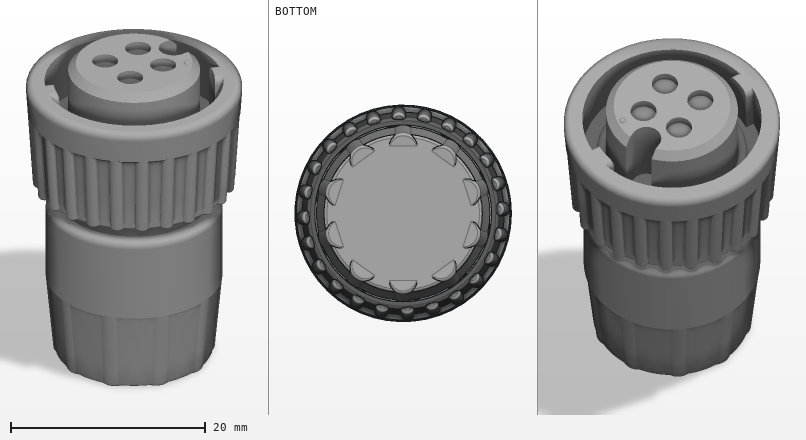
import cadquery as cq
import math

grip_bottom_z = 0.1
body_bottom_z = 8.75
body_top_z = 17.73
ring_bottom_z = 19.68
recess_floor_z = 26.3
collar_bottom_z = 28.4
ring_top_z = 31.72
plug_top_z = 33.82
total_height = 34.04

grip_bottom_radius = 8.1
grip_top_radius = 8.9
grip_rib_count = 10
grip_first_rib_angle = -90
grip_rib_height = 0.17
grip_rib_radius = 1.7
grip_edge_round = 0.3

body_radius = 9.07
body_edge_round = 0.8
neck_radius = 7.76
plug_radius = 6.78
plug_chamfer = 0.8

ring_bottom_radius = 10.39
ring_top_radius = 11.16
ring_inner_radius = 9.2
ring_edge_round = 0.75
ring_rib_count = 24
ring_rib_radius = 0.72
ring_rib_height = 0.55
ring_end_round = 0.35
collar_step_slope_height = 0.45
ring_turn = 65.0

lug_count = 2
lug_inner_radius = 8.3
lug_overlap = 0.05
lug_width = 3.0
lug_end_round = 0.75

slot_width = 3.06
slot_end_y = 3.56
socket_count = 4
socket_first_angle = 45
socket_diameter = 2.68
socket_pitch_radius = 3.0
socket_depth = 0.9
dot_radius = 0.35
dot_x = 3.3
dot_y = 4.35

AXIS_START = (0, 0, 0)
AXIS_END = (0, 1, 0)


def cylinder(radius, bottom_z, top_z):
    return cq.Workplane("XY").workplane(offset=bottom_z).circle(radius).extrude(top_z - bottom_z)


def cone(bottom_radius, bottom_z, top_radius, top_z):
    """Solid truncated cone about the Z axis."""
    profile = [(0, bottom_z), (bottom_radius, bottom_z), (top_radius, top_z), (0, top_z)]
    return cq.Workplane("XZ").polyline(profile).close().revolve(360, AXIS_START, AXIS_END)


def around_axis(feature, count, first_angle):
    """Copies of a feature, made at angle zero, evenly spaced about Z."""
    step = 360 / count
    copies = cq.Workplane("XY")
    for index in range(count):
        copies = copies.add(feature.rotate((0, 0, 0), (0, 0, 1), first_angle + index * step))
    return copies.vals()


def leaning_rod(radius, end_round, bottom_crest, bottom_z, top_crest, top_z):
    """Round rod in the XZ plane whose outer line runs between two crest radii.

    Both ends are square to the rod; the lower one is rounded and reaches down to bottom_z.
    """
    lean = math.atan2(top_crest - bottom_crest, top_z - bottom_z)
    direction = cq.Vector(math.sin(lean), 0, math.cos(lean))
    inward = cq.Vector(-math.cos(lean), 0, math.sin(lean))
    rounding_loss = end_round * (math.sin(lean) + math.cos(lean) - 1)
    crest_start = cq.Vector(bottom_crest, 0, bottom_z) - direction * rounding_loss
    length = math.hypot(top_crest - bottom_crest, top_z - bottom_z) + rounding_loss
    rod = cq.Solid.makeCylinder(radius, length, crest_start + inward * radius, direction)
    return cq.Workplane(rod).faces("<Z").edges().fillet(end_round)


def fuse_all(base, parts):
    for part in parts:
        base = base.union(part)
    return base


def make_grip():
    slope = (grip_top_radius - grip_bottom_radius) / (body_bottom_z - grip_bottom_z)
    crest_top = grip_top_radius + grip_rib_height
    crest_bottom = crest_top - slope * body_bottom_z
    core = cone(grip_bottom_radius, grip_bottom_z, grip_top_radius, body_bottom_z)
    core = core.faces("<Z").edges().fillet(grip_edge_round)
    rib = leaning_rod(grip_rib_radius, grip_edge_round, crest_bottom, 0, crest_top, body_bottom_z)
    return fuse_all(core, around_axis(rib.val(), grip_rib_count, grip_first_rib_angle))


def make_body():
    body = cylinder(body_radius, body_bottom_z, body_top_z).faces(">Z").edges().fillet(body_edge_round)
    neck = cylinder(neck_radius, body_top_z, recess_floor_z)
    return body.union(neck)


def ring_radius(z):
    """Outer radius of the tapered ring at a given height."""
    share = (z - ring_bottom_z) / (ring_top_z - ring_bottom_z)
    return ring_bottom_radius + share * (ring_top_radius - ring_bottom_radius)


def make_ring():
    step_z = collar_bottom_z - collar_step_slope_height
    collar_radius = ring_radius(collar_bottom_z)
    profile = [
        (0, ring_bottom_z),
        (ring_bottom_radius - ring_rib_height, ring_bottom_z),
        (ring_radius(step_z) - ring_rib_height, step_z),
        (collar_radius, collar_bottom_z),
        (ring_top_radius, ring_top_z),
        (0, ring_top_z),
    ]
    ring = cq.Workplane("XZ").polyline(profile).close().revolve(360, AXIS_START, AXIS_END)
    ring = ring.faces(">Z").edges().fillet(ring_edge_round)
    ring = ring.faces("<Z").edges().fillet(ring_end_round)

    rib = leaning_rod(
        ring_rib_radius, ring_end_round, ring_bottom_radius, ring_bottom_z, collar_radius, collar_bottom_z
    )
    half_pitch = 180 / ring_rib_count
    ring = fuse_all(ring, around_axis(rib.val(), ring_rib_count, ring_turn + half_pitch))
    ring = ring.cut(cylinder(ring_inner_radius, recess_floor_z, ring_top_z))
    return fuse_all(ring, around_axis(make_lug().val(), lug_count, ring_turn))


def make_lug():
    """Lug about the +X axis, level with the ring top and rounded down at both ends."""
    outer_radius = ring_inner_radius + lug_overlap
    wall = cylinder(outer_radius, recess_floor_z, ring_top_z)
    wall = wall.cut(cylinder(lug_inner_radius, recess_floor_z, ring_top_z))
    block = (
        cq.Workplane("XY", origin=(outer_radius / 2, 0, recess_floor_z))
        .rect(outer_radius, lug_width)
        .extrude(ring_top_z - recess_floor_z)
        .faces(">Z")
        .edges("|X")
        .fillet(lug_end_round)
    )
    return wall.intersect(block)


def make_plug():
    plug = cylinder(plug_radius, recess_floor_z, plug_top_z).faces(">Z").edges().chamfer(plug_chamfer)
    slot_end_radius = slot_width / 2
    arc_y = slot_end_y + slot_end_radius
    depth = plug_top_z - recess_floor_z
    slot = (
        cq.Workplane("XY", origin=(0, 0, recess_floor_z))
        .moveTo(-slot_end_radius, plug_radius)
        .lineTo(-slot_end_radius, arc_y)
        .threePointArc((0, slot_end_y), (slot_end_radius, arc_y))
        .lineTo(slot_end_radius, plug_radius)
        .close()
        .extrude(depth)
    )
    sockets = (
        cq.Workplane("XY", origin=(0, 0, plug_top_z - socket_depth))
        .polarArray(socket_pitch_radius, socket_first_angle, 360, socket_count)
        .circle(socket_diameter / 2)
        .extrude(socket_depth)
    )
    dot = cq.Workplane("XY").sphere(dot_radius).translate((dot_x, dot_y, total_height - dot_radius))
    return plug.cut(slot).cut(sockets).union(dot)


def make_seal():
    """Sealing ring half sunk in the recess floor, filling the gap from plug to neck radius."""
    seal_radius = (neck_radius - plug_radius) / 2
    middle = plug_radius + seal_radius
    return (
        cq.Workplane("XZ")
        .center(middle, recess_floor_z)
        .circle(seal_radius)
        .revolve(360, (-middle, 0, 0), (-middle, 1, 0))
    )


result = make_grip().union(make_body()).union(make_ring()).union(make_seal()).union(make_plug())